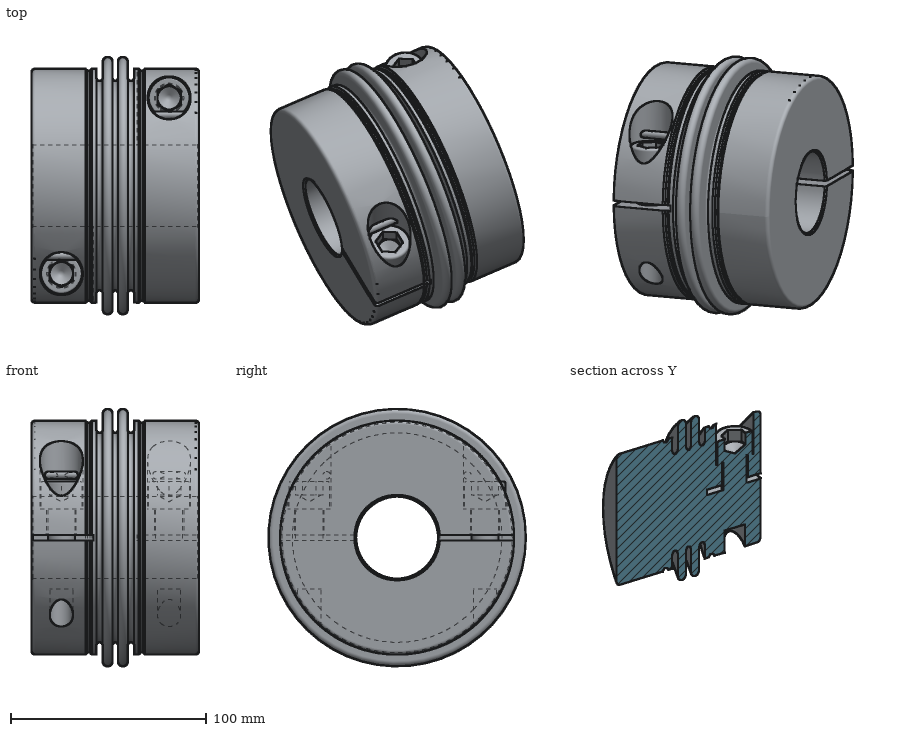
import cadquery as cq
import math

length = 85.9
half_length = length / 2
hub_radius = 120.0 / 2
hub_edge_round = 2.0
bore_radius = 42.0 / 2
bore_chamfer = 0.9

groove_bottom_radius = 118.0 / 2
groove_inner_x = 12.0
groove_outer_x = 15.3
groove_slope = hub_radius - groove_bottom_radius

flange_inner_x = 9.6
crest_radius = 66.0
root_radius = 53.7
crest_pitch = 7.8
crest_width = 5.1

slit_width = 2.9
slit_inner_x = 11.1

screw_x = -27.6
screw_y = -45.0
pocket_diameter = 22.0
head_diameter = 21.0
head_top_z = 28.8
head_height = 14.0
head_round = 1.2
head_bottom_z = head_top_z - head_height
shank_diameter = 14.0
clearance_diameter = 15.0
exit_hole_diameter = 11.9
shank_bottom_z = -26.4
hex_across_flats = 12.0
hex_depth = 7.0
hex_cone_depth = 3.4

pin_diameter = 3.8
pin_y = -36.0
pin_z = 32.0


def make_body():
    """Revolve the hubs, grooves and bellows about X, with a plain through bore."""
    crest_x = crest_pitch / 2
    crest_half = crest_width / 2
    crest_center_radius = crest_radius - crest_half
    profile = cq.Workplane("XY").moveTo(-half_length, bore_radius)
    profile = profile.lineTo(-half_length, hub_radius)
    profile = profile.lineTo(-groove_outer_x, hub_radius)
    profile = profile.lineTo(-groove_outer_x + groove_slope, groove_bottom_radius)
    profile = profile.lineTo(-groove_inner_x - groove_slope, groove_bottom_radius)
    profile = profile.lineTo(-groove_inner_x, hub_radius)
    profile = profile.lineTo(-flange_inner_x, hub_radius)

    valley_start = -flange_inner_x
    for crest_center in (-crest_x, crest_x):
        profile = add_valley(profile, valley_start, crest_center - crest_half)
        profile = profile.lineTo(crest_center - crest_half, crest_center_radius)
        profile = profile.threePointArc(
            (crest_center, crest_radius), (crest_center + crest_half, crest_center_radius)
        )
        valley_start = crest_center + crest_half
    profile = add_valley(profile, valley_start, flange_inner_x)

    profile = profile.lineTo(flange_inner_x, hub_radius)
    profile = profile.lineTo(groove_inner_x, hub_radius)
    profile = profile.lineTo(groove_inner_x + groove_slope, groove_bottom_radius)
    profile = profile.lineTo(groove_outer_x - groove_slope, groove_bottom_radius)
    profile = profile.lineTo(groove_outer_x, hub_radius)
    profile = profile.lineTo(half_length, hub_radius)
    profile = profile.lineTo(half_length, bore_radius).close()
    body = profile.revolve(360, (0, 0, 0), (1, 0, 0))

    end_edges = body.faces("<X or >X").edges()
    bore_edges = end_edges.filter(lambda edge: edge.radius() < hub_radius / 2)
    body = bore_edges.chamfer(bore_chamfer)
    rim_edges = body.faces("<X or >X").edges()
    rim_edges = rim_edges.filter(lambda edge: edge.radius() > hub_radius / 2)
    return rim_edges.fillet(hub_edge_round)


def add_valley(profile, start_x, end_x):
    """Extend the profile inward and around a half-round bellows root."""
    valley_half = (end_x - start_x) / 2
    center_radius = root_radius + valley_half
    profile = profile.lineTo(start_x, center_radius)
    return profile.threePointArc((start_x + valley_half, root_radius), (end_x, center_radius))


def screw_cylinder(diameter, bottom_z, top_z):
    """Cylinder on the screw axis between two heights."""
    base = cq.Workplane("XY", origin=(screw_x, screw_y, bottom_z))
    return base.circle(diameter / 2).extrude(top_z - bottom_z)


def make_clamp_cut():
    """Slit, screw pocket, clearance hole and exit hole of the hub at -X."""
    slit_length = half_length - slit_inner_x
    slit = cq.Workplane("XY").box(
        slit_length, hub_radius, slit_width, centered=(False, False, True)
    )
    slit = slit.translate((-half_length, -hub_radius, 0))
    pocket = screw_cylinder(pocket_diameter, head_bottom_z, crest_radius)
    clearance = screw_cylinder(clearance_diameter, 0, head_bottom_z)
    exit_hole = screw_cylinder(exit_hole_diameter, -crest_radius, shank_bottom_z)
    return slit.union(pocket).union(clearance).union(exit_hole)


def make_screw():
    """Socket-head clamp screw."""
    head = screw_cylinder(head_diameter, head_bottom_z, head_top_z)
    head = head.faces(">Z").edges().fillet(head_round)

    hex_floor_z = head_top_z - hex_depth
    hex_corner_diameter = hex_across_flats / math.cos(math.pi / 6)
    socket = cq.Workplane("XY", origin=(screw_x, screw_y, hex_floor_z))
    socket = socket.transformed(rotate=(0, 0, 90))
    socket = socket.polygon(6, hex_corner_diameter).extrude(hex_depth)
    cone = cq.Solid.makeCone(
        hex_across_flats / 2,
        0,
        hex_cone_depth,
        pnt=cq.Vector(screw_x, screw_y, hex_floor_z),
        dir=cq.Vector(0, 0, -1),
    )
    shank = screw_cylinder(shank_diameter, shank_bottom_z, head_bottom_z)
    return head.union(shank).cut(socket).cut(cq.Workplane(cone))


def make_pin():
    """Retaining pin, with its ends embedded in the pocket wall."""
    pin = cq.Workplane("YZ", origin=(screw_x, pin_y, pin_z))
    return pin.circle(pin_diameter / 2).extrude(pocket_diameter / 2, both=True)


clamp_cut = make_clamp_cut()
clamp_parts = make_screw().union(make_pin())

result = make_body()
for turn in (0, 180):
    result = result.cut(clamp_cut.rotate((0, 0, 0), (0, 0, 1), turn))
    result = result.union(clamp_parts.rotate((0, 0, 0), (0, 0, 1), turn))